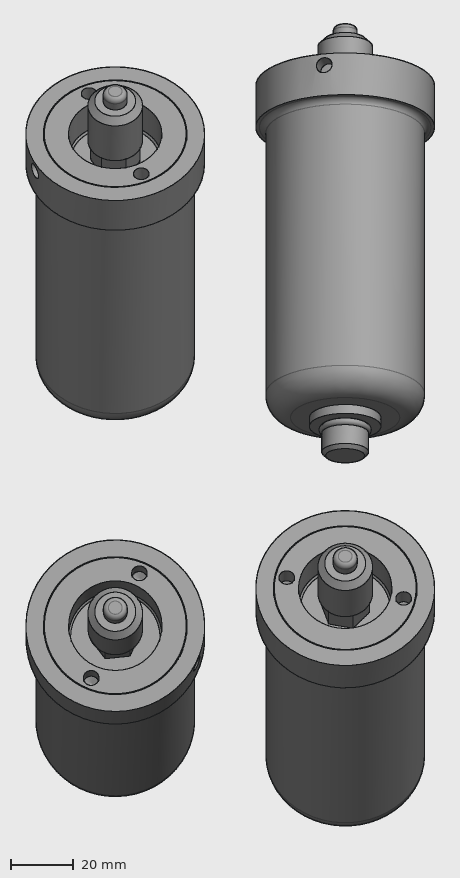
import cadquery as cq
import math

TOTAL_HEIGHT = 147.32
HEAD_TOP = 127.0
HEAD_HEIGHT = 14.29
BARREL_BOTTOM = 13.1
FLANGE_HEIGHT = 3.05
TIP_HEIGHT = 4.6

HEAD_RADIUS = 57.15 / 2
BARREL_RADIUS = 50.8 / 2
HEAD_FILLET = 2.03
BARREL_FILLET = 7.94
FLANGE_RADIUS = 22.86 / 2
BEAD_CENTRE_RADIUS = 7.15
BEAD_SECTION_RADIUS = 1.19
SPIGOT_RADIUS = 15.0 / 2
SPIGOT_CHAMFER = 1.27
RECESS_RADIUS = 22.95
RECESS_DEPTH = HEAD_HEIGHT
SIDE_HOLE_DIAMETER = 5.08
SIDE_HOLE_DROP = 3.86

RING_GAP = 0.3
RING_RADIUS = RECESS_RADIUS - RING_GAP
BORE_RADIUS = 14.9
BORE_DEPTH = 12.7
BORE_CHAMFER_WIDTH = 0.64
BORE_CHAMFER_HEIGHT = 0.7
SPANNER_HOLE_DIAMETER = 4.95
SPANNER_HOLE_OFFSET = 19.05
SPANNER_HOLE_DEPTH = 6.35
DRILL_POINT_ANGLE = 118.0
ROD_RADIUS = 17.46 / 2
ROD_CHAMFER = 2.2
ROD_UNDERSIDE_DROP = 3.18
HEX_CORNER_DIAMETER = 15.88
TIP_RADIUS = 7.7 / 2
TIP_ROUND = 1.65

HEAD_BOTTOM = HEAD_TOP - HEAD_HEIGHT
FLANGE_BOTTOM = BARREL_BOTTOM - FLANGE_HEIGHT
RECESS_FLOOR = HEAD_TOP - RECESS_DEPTH
BORE_FLOOR = HEAD_TOP - BORE_DEPTH
ROD_UNDERSIDE = HEAD_TOP - ROD_UNDERSIDE_DROP
ROD_TOP = TOTAL_HEIGHT - TIP_HEIGHT


def cylinder(radius, bottom, top):
    """Cylinder on the vertical axis between two levels."""
    return cq.Workplane("XY").workplane(offset=bottom).circle(radius).extrude(top - bottom)


def make_head_fillet():
    """Concave flare that joins the barrel to the underside of the head."""
    flare_radius = BARREL_RADIUS + HEAD_FILLET
    flare_bottom = HEAD_BOTTOM - HEAD_FILLET
    mid_offset = HEAD_FILLET * math.sqrt(0.5)
    return (
        cq.Workplane("XZ")
        .moveTo(0, flare_bottom)
        .lineTo(BARREL_RADIUS, flare_bottom)
        .threePointArc((flare_radius - mid_offset, flare_bottom + mid_offset), (flare_radius, HEAD_BOTTOM))
        .lineTo(0, HEAD_BOTTOM)
        .close()
        .revolve(360, (0, 0), (0, 1))
    )


def make_bead():
    """Round bead around the spigot, against the lower flange."""
    middle = FLANGE_BOTTOM - BEAD_SECTION_RADIUS
    bottom = middle - BEAD_SECTION_RADIUS
    crest_radius = BEAD_CENTRE_RADIUS + BEAD_SECTION_RADIUS
    return (
        cq.Workplane("XZ")
        .moveTo(0, bottom)
        .lineTo(BEAD_CENTRE_RADIUS, bottom)
        .threePointArc((crest_radius, middle), (BEAD_CENTRE_RADIUS, FLANGE_BOTTOM))
        .lineTo(0, FLANGE_BOTTOM)
        .close()
        .revolve(360, (0, 0), (0, 1))
    )


def make_side_hole():
    """Radial hole from the -Y side of the head into the recess."""
    return (
        cq.Workplane("XZ")
        .center(0, HEAD_TOP - SIDE_HOLE_DROP)
        .circle(SIDE_HOLE_DIAMETER / 2)
        .extrude(HEAD_RADIUS)
    )


def make_housing():
    """Barrel with a wide head, a lower flange and a spigot."""
    head = cylinder(HEAD_RADIUS, HEAD_BOTTOM, HEAD_TOP)
    barrel = cylinder(BARREL_RADIUS, BARREL_BOTTOM, HEAD_BOTTOM).faces("<Z").edges().fillet(BARREL_FILLET)
    flange = cylinder(FLANGE_RADIUS, FLANGE_BOTTOM, BARREL_BOTTOM)
    spigot = cylinder(SPIGOT_RADIUS, 0, FLANGE_BOTTOM).faces("<Z").edges().chamfer(SPIGOT_CHAMFER)
    body = head.union(barrel).union(make_head_fillet()).union(flange).union(spigot).union(make_bead())
    return body.cut(cylinder(RECESS_RADIUS, RECESS_FLOOR, HEAD_TOP)).cut(make_side_hole())


def make_bore():
    """Central bore of the insert, with a chamfer around its floor."""
    return (
        cq.Workplane("XZ")
        .moveTo(0, BORE_FLOOR)
        .lineTo(BORE_RADIUS - BORE_CHAMFER_WIDTH, BORE_FLOOR)
        .lineTo(BORE_RADIUS, BORE_FLOOR + BORE_CHAMFER_HEIGHT)
        .lineTo(BORE_RADIUS, HEAD_TOP)
        .lineTo(0, HEAD_TOP)
        .close()
        .revolve(360, (0, 0), (0, 1))
    )


def make_spanner_hole(x):
    """Blind hole with a drill-point bottom."""
    radius = SPANNER_HOLE_DIAMETER / 2
    point_depth = radius / math.tan(math.radians(DRILL_POINT_ANGLE / 2))
    return (
        cq.Workplane("XZ")
        .moveTo(0, 0)
        .lineTo(radius, 0)
        .lineTo(radius, -SPANNER_HOLE_DEPTH)
        .lineTo(0, -SPANNER_HOLE_DEPTH - point_depth)
        .close()
        .revolve(360, (0, 0), (0, 1))
        .translate((x, 0, HEAD_TOP))
    )


def make_rod():
    """Rod with a rounded tip, carried on a hexagonal neck."""
    neck = (
        cq.Workplane("XY")
        .workplane(offset=BORE_FLOOR)
        .polygon(6, HEX_CORNER_DIAMETER)
        .extrude(ROD_UNDERSIDE - BORE_FLOOR)
    )
    rod = cylinder(ROD_RADIUS, ROD_UNDERSIDE, ROD_TOP).faces(">Z").edges().chamfer(ROD_CHAMFER)
    tip = cylinder(TIP_RADIUS, ROD_TOP, TOTAL_HEIGHT).faces(">Z").edges().fillet(TIP_ROUND)
    return neck.union(rod).union(tip)


def make_insert():
    """Cup-shaped ring that fills the recess, with the rod standing on its floor."""
    body = cylinder(RING_RADIUS, RECESS_FLOOR, HEAD_TOP).cut(make_bore())
    for side in (-1, 1):
        body = body.cut(make_spanner_hole(side * SPANNER_HOLE_OFFSET))
    return body.union(make_rod())


housing = make_housing()
insert = make_insert()

result = cq.Compound.makeCompound([housing.val(), insert.val()])